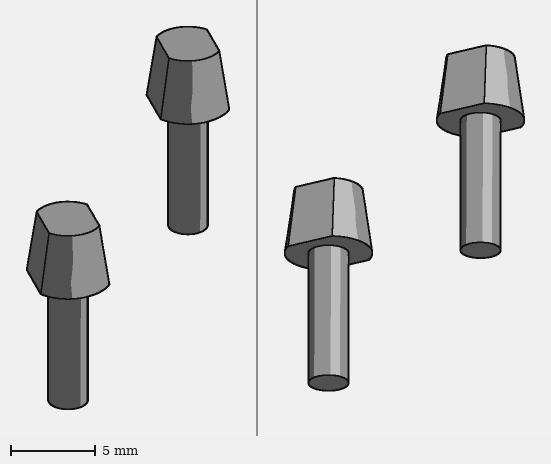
import cadquery as cq
import math

overall_length = 27.23
overall_height = 12.4

head_diameter = 5.23
head_flat_width = 4.25
head_height = 4.0
head_taper = 8.0
flat_normal_angle = 35.0

stem_diameter = 2.4
stem_length = overall_height - head_height

knob_spacing = overall_length - head_diameter
knob_centers = [(0, -knob_spacing / 2), (0, knob_spacing / 2)]


def make_head(center):
    """Tapered head, standing on top of the stem with its wide end down."""
    radius = head_diameter / 2
    half_width = head_flat_width / 2
    half_chord = math.sqrt(radius**2 - half_width**2)
    head = (
        cq.Workplane("XY")
        .moveTo(half_width, -half_chord)
        .lineTo(half_width, half_chord)
        .threePointArc((0, radius), (-half_width, half_chord))
        .lineTo(-half_width, -half_chord)
        .threePointArc((0, -radius), (half_width, -half_chord))
        .close()
        .extrude(head_height, taper=head_taper)
    )
    turned_head = head.rotate((0, 0, 0), (0, 0, 1), flat_normal_angle)
    return turned_head.translate((*center, stem_length))


def make_stem(center):
    """Cylindrical stem, ending flush against the underside of the head."""
    return cq.Workplane("XY").center(*center).circle(stem_diameter / 2).extrude(stem_length)


heads = [make_head(center) for center in knob_centers]
stems = [make_stem(center) for center in knob_centers]

result = cq.Compound.makeCompound([body.val() for body in heads + stems])